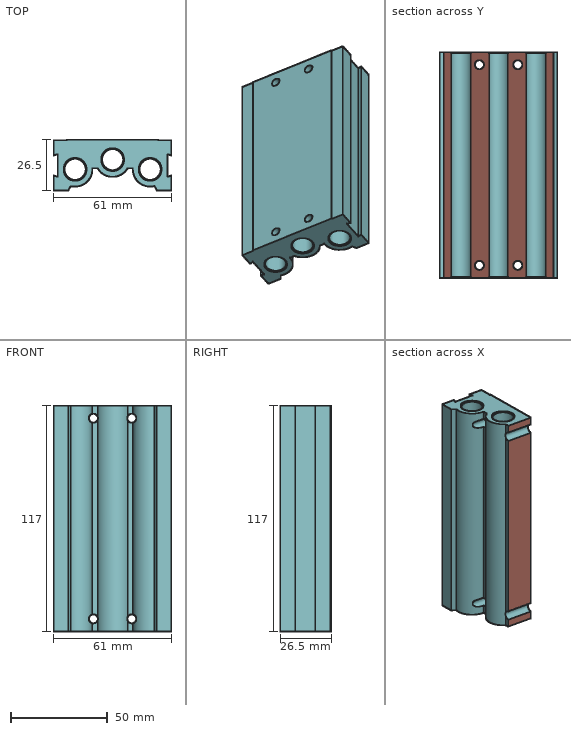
import cadquery as cq
import math

LENGTH = 117.0
WIDTH = 61.0
DEPTH = 26.5
HALF_WIDTH = WIDTH / 2

BORE_DIAMETER = 10.9
BORE_RADIUS = BORE_DIAMETER / 2
BORE_CHAMFER = 0.53
WALL_RADIUS = 9.0
SIDE_BORE_X = 19.4
SIDE_BORE_Y = 11.0
MIDDLE_BORE_Y = 16.0
BORE_CENTRES = [(-SIDE_BORE_X, SIDE_BORE_Y), (0, MIDDLE_BORE_Y), (SIDE_BORE_X, SIDE_BORE_Y)]

FLOOR_Y = 11.5

FOOT_INNER_X = 22.9
FOOT_ROOT_X = 21.6

PAD_HALF_WIDTH = 23.8
PAD_HEIGHT = 0.4

GROOVE_CENTRE_Y = 13.0
GROOVE_DEPTH = 2.0
GROOVE_MOUTH = 10.3
GROOVE_BOTTOM = 11.6

HOLE_DIAMETER = 4.6
HOLE_X = 10.0
HOLE_END_DISTANCE = 6.5


def circle_front_y(centre_y, offset):
    """Y of the front half of a rounded wall at a sideways offset from its centre."""
    return centre_y - math.sqrt(WALL_RADIUS**2 - offset**2)


def half_section():
    """Right half of the section, from the symmetry plane out to the side."""
    shoulder_y = DEPTH - PAD_HEIGHT
    middle_end_x = math.sqrt(WALL_RADIUS**2 - (MIDDLE_BORE_Y - FLOOR_Y) ** 2)
    middle_mid_x = middle_end_x / 2
    wall_inner_x = SIDE_BORE_X - WALL_RADIUS
    wall_mid_offset = WALL_RADIUS * math.sin(math.radians(45))
    foot_root_y = circle_front_y(SIDE_BORE_Y, FOOT_ROOT_X - SIDE_BORE_X)
    return (
        cq.Workplane("XY")
        .moveTo(0, DEPTH)
        .lineTo(0, MIDDLE_BORE_Y - WALL_RADIUS)
        .threePointArc(
            (middle_mid_x, circle_front_y(MIDDLE_BORE_Y, middle_mid_x)),
            (middle_end_x, FLOOR_Y),
        )
        .lineTo(wall_inner_x, FLOOR_Y)
        .lineTo(wall_inner_x, SIDE_BORE_Y)
        .threePointArc(
            (SIDE_BORE_X - wall_mid_offset, SIDE_BORE_Y - wall_mid_offset),
            (FOOT_ROOT_X, foot_root_y),
        )
        .lineTo(FOOT_INNER_X, 0)
        .lineTo(HALF_WIDTH, 0)
        .lineTo(HALF_WIDTH, GROOVE_CENTRE_Y - GROOVE_MOUTH / 2)
        .lineTo(HALF_WIDTH - GROOVE_DEPTH, GROOVE_CENTRE_Y - GROOVE_BOTTOM / 2)
        .lineTo(HALF_WIDTH - GROOVE_DEPTH, GROOVE_CENTRE_Y + GROOVE_BOTTOM / 2)
        .lineTo(HALF_WIDTH, GROOVE_CENTRE_Y + GROOVE_MOUTH / 2)
        .lineTo(HALF_WIDTH, shoulder_y)
        .lineTo(PAD_HALF_WIDTH, shoulder_y)
        .lineTo(PAD_HALF_WIDTH, DEPTH)
        .close()
    )


def extruded_body():
    """Full symmetric profile, standing on z = 0."""
    right_half = half_section().extrude(LENGTH)
    return right_half.union(right_half.mirror("YZ")).clean()


def bore_cutter(x, y):
    """Through bore with a chamfered mouth at both ends."""
    mouth_radius = BORE_RADIUS + BORE_CHAMFER
    return (
        cq.Workplane("XZ")
        .lineTo(mouth_radius, 0)
        .lineTo(BORE_RADIUS, BORE_CHAMFER)
        .lineTo(BORE_RADIUS, LENGTH - BORE_CHAMFER)
        .lineTo(mouth_radius, LENGTH)
        .lineTo(0, LENGTH)
        .close()
        .revolve(360, (0, 0), (0, 1))
        .translate((x, y, 0))
    )


def mounting_hole_cutters():
    """Four cylinders running along Y through the whole depth."""
    centres = [
        (x, z)
        for x in (-HOLE_X, HOLE_X)
        for z in (HOLE_END_DISTANCE, LENGTH - HOLE_END_DISTANCE)
    ]
    return cq.Workplane("XZ").pushPoints(centres).circle(HOLE_DIAMETER / 2).extrude(-DEPTH)


result = extruded_body()
for bore_x, bore_y in BORE_CENTRES:
    result = result.cut(bore_cutter(bore_x, bore_y))
result = result.cut(mounting_hole_cutters())